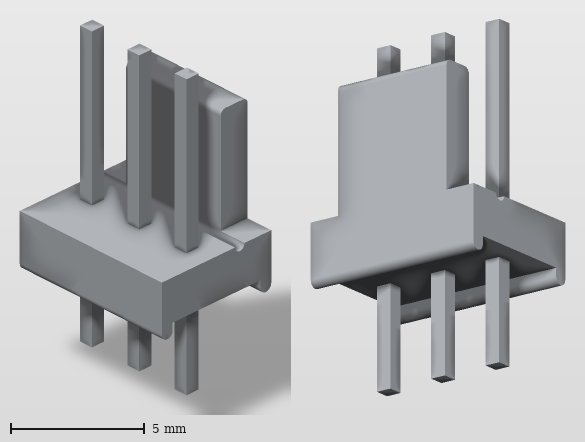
import cadquery as cq

pin_pitch = 2.54
pin_count = 3
pin_width = 0.635
pin_above = 7.48
pin_length = 13.59

base_length = pin_count * pin_pitch
base_depth = 5.72
base_front = -2.54
base_back = base_front + base_depth
floor_thickness = 1.94
base_height = 2.55
foot_width = 0.57
foot_radius = foot_width / 2

wall_length = (pin_count - 1) * pin_pitch
wall_thickness = 1.40
wall_height = 5.20
wall_edge_radius = 0.25

groove_width = 0.50
groove_radius = groove_width / 2


def make_plate():
    """Flat plate that carries the pins and the wall."""
    return cq.Workplane("XY").box(
        base_length, base_depth, floor_thickness, centered=(True, False, False)
    ).translate((0, base_front, -floor_thickness))


def make_foot(front_y):
    """Full-length rail below the plate with a half-round bottom edge."""
    round_start = foot_radius - base_height
    return (
        cq.Workplane("YZ", origin=(-base_length / 2, 0, 0))
        .moveTo(front_y, -floor_thickness)
        .lineTo(front_y, round_start)
        .threePointArc(
            (front_y + foot_radius, -base_height),
            (front_y + foot_width, round_start),
        )
        .lineTo(front_y + foot_width, -floor_thickness)
        .close()
        .extrude(base_length)
    )


def make_wall():
    """Upright wall with rounded top edges along its length."""
    wall = cq.Workplane("XY").box(
        wall_length, wall_thickness, wall_height, centered=(True, False, False)
    ).translate((0, base_back - wall_thickness, 0))
    return wall.faces(">Z").edges("|X").fillet(wall_edge_radius)


def make_groove():
    """Round cutter along the front of the wall, centred on the base top."""
    return (
        cq.Workplane("YZ", origin=(-base_length / 2, 0, 0))
        .center(base_back - wall_thickness - groove_radius, 0)
        .circle(groove_radius)
        .extrude(base_length)
    )


def make_pin(x):
    """Square pin passing through the base."""
    return cq.Workplane("XY").box(
        pin_width, pin_width, pin_length, centered=(True, True, False)
    ).translate((x, 0, pin_above - pin_length))


result = make_plate()
for foot_front in (base_front, base_back - foot_width):
    result = result.union(make_foot(foot_front))
result = result.cut(make_groove())
result = result.union(make_wall())
for index in range(pin_count):
    pin_x = (index - (pin_count - 1) / 2) * pin_pitch
    result = result.union(make_pin(pin_x))